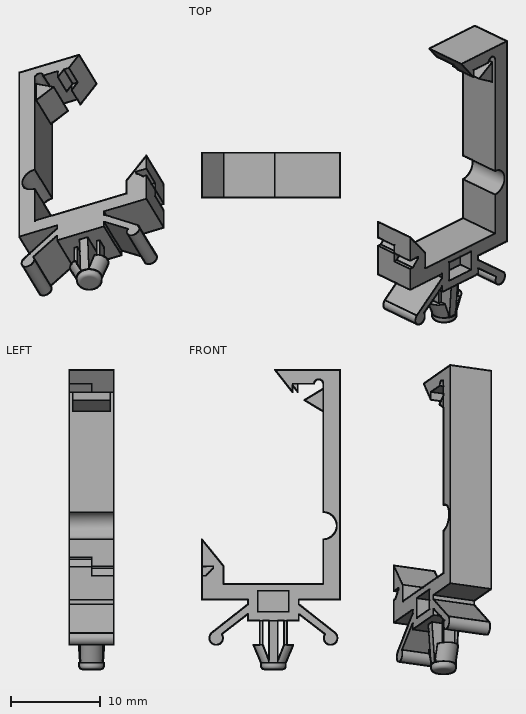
import cadquery as cq
import math

width = 5.0
left, right = -7.95, 7.43
top = 33.3
base_bottom, base_top = 7.75, 9.52
inner_left, inner_right = -5.53, 5.53
latch_shoulder, latch_tip = 11.5, 14.5

hook_start = 0.15
hook_x, hook_bottom = 2.13, 30.8
arm_bottom = 31.75
hook_step = 0.6
groove_radius = 0.5
hinge_radius, hinge_z = 1.5, 16.0

wedge_tip_x, wedge_z = 3.43, 29.95
wedge_half_height, wedge_width = 1.25, 4.13

notch_depth, notch_mouth_depth = 1.25, 0.43
notch_top, notch_lip, notch_height = 11.45, 0.2, 1.03
notch_offset = 1.0

hub_half_width, hub_bottom = 2.83, 5.43
pocket_width, pocket_bottom, pocket_top = 3.45, 6.43, 8.75
pocket_depth = 1.65

foot_x, foot_z, foot_radius = 6.35, 3.5, 0.75
foot_root_bottom, foot_root_top = 6.15, 7.25
foot_end_top = (6.9, 4.05)
foot_end_bottom = (5.73, 3.93)

web_half_width = 0.5
web_half_depth, web_tip_half_depth = 1.63, 1.3
strut_inner, strut_outer, strut_depth = 1.15, 1.53, 1.33
barb_tip_x, barb_top, barb_radius = 2.23, 2.73, 1.3
barb_join = 1.03
nose_radius, nose_top, nose_round = 1.4, 0.75, 0.43


def prism(points, y_min=-width / 2, y_max=width / 2):
    """Extrude an XZ outline between two Y positions."""
    outline = cq.Workplane("XZ", origin=(0, y_max, 0)).polyline(points).close()
    return outline.extrude(y_max - y_min)


def cross_cylinder(x, z, radius):
    """Cylinder along Y across the full width."""
    return cq.Workplane("XZ", origin=(x, width / 2, z)).circle(radius).extrude(width)


def make_frame():
    frame = prism([
        (left, base_bottom), (right, base_bottom), (right, top), (hook_start, top),
        (hook_x, hook_bottom), (hook_x, arm_bottom), (inner_right, arm_bottom),
        (inner_right, base_top), (inner_left, base_top),
        (inner_left, latch_shoulder), (left, latch_tip),
    ])
    frame = frame.cut(cross_cylinder(inner_right - groove_radius, arm_bottom, groove_radius))
    return frame.cut(cross_cylinder(inner_right, hinge_z, hinge_radius))


def step_rear_tooth(frame):
    """Shift the hook tooth inward on the +Y half."""
    slope = (hook_x - hook_start) / (top - hook_bottom)
    tooth_root = hook_x - slope * (arm_bottom - hook_bottom)
    cutter = prism([
        (hook_start, hook_bottom), (hook_x, hook_bottom), (hook_x, arm_bottom),
        (hook_start, arm_bottom),
    ], y_min=0)
    tooth = prism([
        (tooth_root + hook_step, arm_bottom), (hook_x + hook_step, hook_bottom),
        (hook_x + hook_step, arm_bottom),
    ], y_min=0)
    root_block = prism([
        (tooth_root + hook_step, arm_bottom), (hook_x + hook_step, arm_bottom),
        (hook_x + hook_step, top), (tooth_root + hook_step, top),
    ], y_min=0)
    return frame.cut(cutter).union(tooth.union(root_block))


def make_notch(z_top, y_min, y_max):
    return prism([
        (left, z_top), (left + notch_depth, z_top), (left + notch_depth, z_top - notch_lip),
        (left + notch_mouth_depth, z_top - notch_height), (left, z_top - notch_height),
    ], y_min, y_max)


def make_wedge():
    return prism([
        (wedge_tip_x, wedge_z),
        (inner_right, wedge_z - wedge_half_height),
        (inner_right, wedge_z + wedge_half_height),
    ], -wedge_width / 2, wedge_width / 2)


def make_hub():
    return prism([
        (-hub_half_width, hub_bottom), (hub_half_width, hub_bottom),
        (hub_half_width, base_top), (-hub_half_width, base_top),
    ])


def make_pocket():
    return cq.Workplane("XY").box(
        pocket_width, pocket_depth, pocket_top - pocket_bottom, centered=(True, False, False)
    ).translate((0, -width / 2, pocket_bottom))


def make_foot():
    arm = prism([
        (hub_half_width, foot_root_top), foot_end_top, (foot_x, foot_z),
        foot_end_bottom, (hub_half_width, foot_root_bottom),
    ])
    return arm.union(cross_cylinder(foot_x, foot_z, foot_radius))


def make_barb():
    """Slanted round barb on the +X side, hollowed on its inner face."""
    lean = math.atan2(barb_tip_x - nose_radius, barb_top - nose_top)
    axis_x = nose_radius - barb_radius / math.cos(lean)
    axis = cq.Plane(
        origin=(axis_x, 0, nose_top), xDir=(0, 1, 0), normal=(math.sin(lean), 0, math.cos(lean))
    )
    cylinder = cq.Workplane(axis).circle(barb_radius).extrude(4 * barb_top, both=True)
    blank = prism([
        (0, nose_top), (barb_tip_x, nose_top), (barb_tip_x, barb_top),
        (strut_inner, barb_top), (web_half_width, barb_join), (0, barb_join),
    ])
    return blank.intersect(cylinder)


def make_strut():
    """Thin leg from the hub to a barb, its foot sloping along the barb's inner face."""
    barb_slope = (barb_top - barb_join) / (strut_inner - web_half_width)
    strut_foot = barb_top - (strut_outer - strut_inner) * barb_slope
    return prism([
        (strut_inner, barb_top), (strut_outer, strut_foot),
        (strut_outer, hub_bottom), (strut_inner, hub_bottom),
    ], -strut_depth / 2, strut_depth / 2)


def make_post():
    web = (
        cq.Workplane("YZ", origin=(-web_half_width, 0, 0))
        .polyline([
            (-web_tip_half_depth, nose_top), (-web_half_depth, hub_bottom),
            (web_half_depth, hub_bottom), (web_tip_half_depth, nose_top),
        ])
        .close()
        .extrude(2 * web_half_width)
    )
    nose = cq.Workplane("XY").circle(nose_radius).extrude(nose_top).faces("<Z").edges().fillet(nose_round)
    side = make_barb().union(make_strut())
    return web.union(nose).union(side).union(side.mirror("YZ"))


frame = step_rear_tooth(make_frame())
frame = frame.cut(make_notch(notch_top, -width / 2, 0))
frame = frame.cut(make_notch(notch_top + notch_offset, 0, width / 2))
frame = frame.union(make_wedge()).union(make_hub()).cut(make_pocket())

foot = make_foot()
result = frame.union(foot).union(foot.mirror("YZ")).union(make_post())